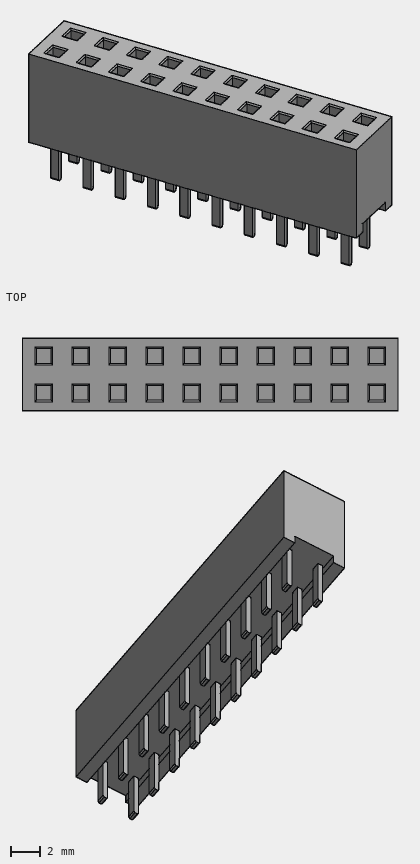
import cadquery as cq

length = 25.8
width = 5.0
total_height = 10.3
body_height = 7.12

columns = 10
rows = 2
contact_span = 22.87
pitch = contact_span / (columns - 1)

channel_width = 3.2
channel_depth = 0.7

socket_size = 1.0
socket_mouth_size = 1.21
socket_depth = 4.65
mouth_bevel = (socket_mouth_size - socket_size) / 2

pin_width = 0.65
pin_thickness = 0.4
tip_thickness = 0.2
tip_height = 0.13

body_bottom = total_height - body_height
channel_top = body_bottom + channel_depth


def make_body():
    """Block with a channel running the full length of its underside."""
    base = cq.Workplane("XY").workplane(offset=body_bottom)
    block = base.rect(length, width).extrude(body_height)
    channel = base.rect(length, channel_width).extrude(channel_depth)
    return block.cut(channel)


def make_sockets():
    """Cutting shapes for all the socket openings and their bevelled mouths."""
    grid = cq.Workplane("XY").workplane(offset=total_height).rarray(pitch, pitch, columns, rows)
    holes = grid.rect(socket_size, socket_size).extrude(-socket_depth)
    mouth = (
        cq.Workplane("XY")
        .rect(socket_mouth_size, socket_mouth_size)
        .workplane(offset=-mouth_bevel)
        .rect(socket_size, socket_size)
        .loft(ruled=True)
    )
    mouths = grid.eachpoint(mouth.val())
    return holes.union(mouths)


def make_pins():
    """Pins from the channel roof down to z = 0, with tapered tips."""
    half_thickness = pin_thickness / 2
    half_tip = tip_thickness / 2
    profile = [
        (-half_tip, 0),
        (half_tip, 0),
        (half_thickness, tip_height),
        (half_thickness, channel_top),
        (-half_thickness, channel_top),
        (-half_thickness, tip_height),
    ]
    pin = cq.Workplane("YZ").polyline(profile).close().extrude(pin_width / 2, both=True)
    grid = cq.Workplane("XY").rarray(pitch, pitch, columns, rows)
    return grid.eachpoint(pin.val())


header = make_body().cut(make_sockets()).union(make_pins())
result = header.solids()